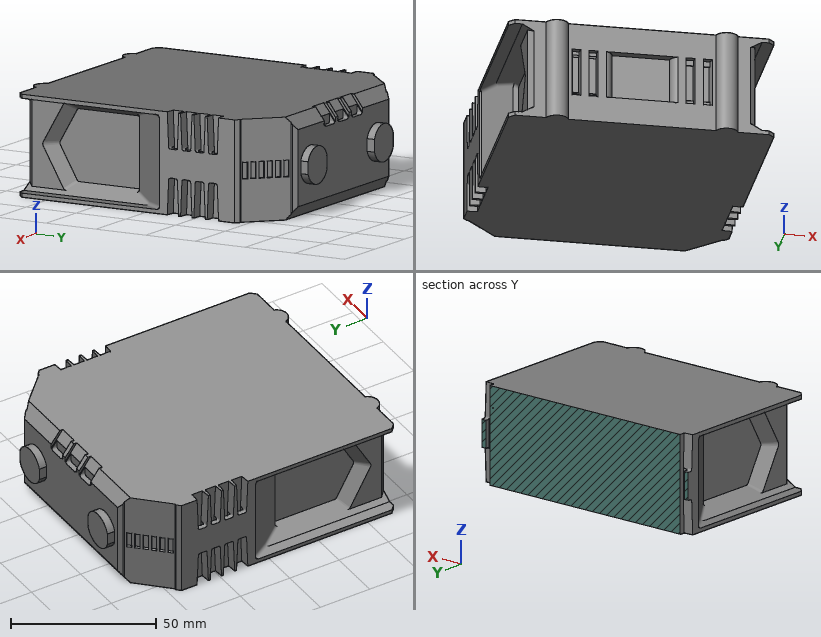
import cadquery as cq
import math


TOTAL_LENGTH = 109.0
WIDTH = 93.0
THICKNESS = 36.3
RIB_HEIGHT = 2.7
KNOB_HEIGHT = 2.9
BODY_LENGTH = TOTAL_LENGTH - RIB_HEIGHT - KNOB_HEIGHT
HALF_WIDTH = WIDTH / 2
HALF_THICKNESS = THICKNESS / 2

FOOT_CHAMFER = 2.0
SHOULDER_CHAMFER = 16.0
SHOULDER_RECESS = 0.4
SHOULDER_LIP = 1.4

END_BEVEL_LENGTH = 3.5
END_BEVEL_DEPTH = 4.6

RIB_RADIUS = 4.1
RIB_X = 29.8

KNOB_DIAMETER = 13.5
KNOB_WIDTH = 12.8
KNOB_X = 22.2

GRIP_COUNT = 6
GRIP_PITCH = 2.9
GRIP_WIDTH = 1.9
GRIP_DEPTH = 1.1
GRIP_LENGTH = 5.9

VENT_COUNT = 4
VENT_PITCH = 5.3
VENT_FIRST_Y = 62.7
VENT_MOUTH_WIDTH = 4.6
VENT_END_WIDTH = 3.5
VENT_DRAFT = 0.2
VENT_DEPTH = 3.6
VENT_END_Z = 5.1
VENT_CORNER_RADIUS = 0.8
VENT_WEB = 2.0
VENT_PASSAGE_WIDTH = 3.0

POCKET_LENGTH = 57.2
POCKET_RIM_DEPTH = 0.8
POCKET_HALF_HEIGHT = 16.7
POCKET_STRAIGHT_DEPTH = 4.5
POCKET_WALL_ANGLE = 30.0
POCKET_RAMP_END_Y = 43.6
POCKET_RAMP_DEPTH = 9.3
POCKET_FLOOR_DEPTH = 11.1
POCKET_CORNER_RADIUS = 1.3
STEP_DEPTH = 6.6
STEP_CHAMFER = 2.0
STEP_APEX_Y = 6.1
STEP_WALL_RUN = 4.3
STEP_ANGLE = 30.0
STEP_APEX_RADIUS = 1.9

LATCH_HALF_HEIGHT = 8.6
LATCH_OUTER_HALF_WIDTH = 12.5
LATCH_INNER_HALF_WIDTH = 10.0
LATCH_DEPTH = 2.9
LATCH_SIDE_RADIUS = 3.7

SLIT_WIDTH = 3.2
SLIT_INNER_X = 17.0
SLIT_OUTER_X = 23.1
SLIT_SIDE_DRAFT = 0.3
SLIT_OUTERMOST_DRAFT = 0.8
SLIT_DEPTH = 2.0
SLIT_WELL_DEPTH = 2.4
SLIT_WELL_HALF_HEIGHT = 6.6
SLIT_WELL_LEAD = 0.7

LAMP_PITCH = 9.2
LAMP_WIDTH = 7.4
LAMP_SEAT_SHIFT = 1.2
LAMP_HOLE_WIDTH = 6.5
LAMP_HOLE_LENGTH = 2.1
LAMP_HOLE_FLOOR_Z = 11.4
LAMP_HOLE_RADIUS = 0.9


def both_sides(solid):
    """The solid together with its mirror image across the YZ plane."""
    return solid.union(solid.mirror("YZ"))


def box(x_range, y_range, z_range):
    size = [high - low for low, high in (x_range, y_range, z_range)]
    start = (x_range[0], y_range[0], z_range[0])
    return cq.Workplane("XY").box(*size, centered=False).translate(start)


def plate(points):
    """A prism with an XY outline through the whole thickness."""
    return cq.Workplane("XY").polyline(points).close().extrude(HALF_THICKNESS, both=True)


def body():
    blank = cq.Workplane("XY").box(WIDTH, BODY_LENGTH, THICKNESS).translate((0, BODY_LENGTH / 2, 0))
    blank = blank.faces("<Y").edges("|Z").chamfer(FOOT_CHAMFER)
    blank = blank.faces(">Y").edges("|Z").chamfer(SHOULDER_CHAMFER)
    lip_x = HALF_WIDTH - SHOULDER_CHAMFER + SHOULDER_LIP
    lip_y = BODY_LENGTH - SHOULDER_CHAMFER + SHOULDER_LIP
    diagonal = HALF_WIDTH + BODY_LENGTH - SHOULDER_CHAMFER - SHOULDER_RECESS * math.sqrt(2)
    recess = plate([
        (lip_x, diagonal - lip_x),
        (diagonal - lip_y, lip_y),
        (HALF_WIDTH, lip_y),
        (HALF_WIDTH, BODY_LENGTH),
        (lip_x, BODY_LENGTH),
    ])
    blank = blank.cut(both_sides(recess))
    bevel = (
        cq.Workplane("YZ")
        .moveTo(BODY_LENGTH, HALF_THICKNESS)
        .lineTo(BODY_LENGTH - END_BEVEL_LENGTH, HALF_THICKNESS)
        .lineTo(BODY_LENGTH, HALF_THICKNESS - END_BEVEL_DEPTH)
        .close()
        .extrude(HALF_WIDTH, both=True)
    )
    return blank.cut(bevel).cut(bevel.mirror("XY"))


def ribs():
    return (
        cq.Workplane("XY")
        .pushPoints([(-RIB_X, RIB_RADIUS - RIB_HEIGHT), (RIB_X, RIB_RADIUS - RIB_HEIGHT)])
        .circle(RIB_RADIUS)
        .extrude(HALF_THICKNESS, both=True)
    )


def knob():
    disc = cq.Workplane("XZ").circle(KNOB_DIAMETER / 2).extrude(-KNOB_HEIGHT)
    flats = cq.Workplane("XZ").rect(KNOB_WIDTH, KNOB_DIAMETER).extrude(-KNOB_HEIGHT)
    return disc.intersect(flats).translate((KNOB_X, BODY_LENGTH, 0))


def grip_grooves():
    """Evenly spaced grooves square to the recessed shoulder face on +X."""
    inset = SHOULDER_CHAMFER / 2 + SHOULDER_RECESS / math.sqrt(2)
    middle = (HALF_WIDTH - inset, BODY_LENGTH - inset, 0)
    face = cq.Plane(origin=middle, xDir=(-1, 1, 0), normal=(1, 1, 0))
    return (
        cq.Workplane(face)
        .rarray(GRIP_PITCH, 1.1, GRIP_COUNT, 1)
        .rect(GRIP_WIDTH, GRIP_LENGTH)
        .extrude(-GRIP_DEPTH)
    )


def vent_outline(inset):
    """Tapered vent outline in YZ with each side moved in by the inset."""
    half_mouth = VENT_MOUTH_WIDTH / 2 - inset
    half_end = VENT_END_WIDTH / 2 - inset
    return [
        (-half_mouth, HALF_THICKNESS),
        (-half_end, VENT_END_Z),
        (half_end, VENT_END_Z),
        (half_mouth, HALF_THICKNESS),
    ]


def vent(y):
    """One tapered vent on each large face of the +X side, joined behind the web."""
    notch = (
        cq.Workplane("YZ", origin=(HALF_WIDTH - VENT_DEPTH, y, 0))
        .polyline(vent_outline(VENT_DRAFT)).close()
        .workplane(offset=VENT_DEPTH)
        .polyline(vent_outline(0)).close()
        .loft(ruled=True)
        .faces("<Z").edges("not |Y").fillet(VENT_CORNER_RADIUS)
    )
    passage = box(
        (HALF_WIDTH - VENT_DEPTH, HALF_WIDTH - VENT_WEB),
        (y - VENT_PASSAGE_WIDTH / 2, y + VENT_PASSAGE_WIDTH / 2),
        (-HALF_THICKNESS, HALF_THICKNESS),
    )
    return notch.union(notch.mirror("XY")).union(passage)


def step_outline(apex_y):
    """YZ outline of the arrow-ended step with its notch bottom at apex_y."""
    flank_y = apex_y + HALF_THICKNESS * math.tan(math.radians(STEP_ANGLE))
    return [
        (0, HALF_THICKNESS),
        (flank_y, HALF_THICKNESS),
        (apex_y, 0),
        (flank_y, -HALF_THICKNESS),
        (0, -HALF_THICKNESS),
    ]


def pocket_step():
    """Material left standing in the pocket between the mounting face and the arrow."""
    step = (
        cq.Workplane("YZ", origin=(HALF_WIDTH - STEP_DEPTH, 0, 0))
        .polyline(step_outline(STEP_APEX_Y)).close()
        .workplane(offset=STEP_DEPTH - POCKET_FLOOR_DEPTH)
        .polyline(step_outline(STEP_APEX_Y + STEP_WALL_RUN)).close()
        .loft(ruled=True)
    )
    apex_mid = (
        HALF_WIDTH - (STEP_DEPTH + POCKET_FLOOR_DEPTH) / 2,
        STEP_APEX_Y + STEP_WALL_RUN / 2,
        0,
    )
    valley = cq.selectors.NearestToPointSelector(apex_mid)
    step = step.edges(valley).fillet(STEP_APEX_RADIUS)
    entry = plate([
        (HALF_WIDTH - STEP_DEPTH, 0),
        (HALF_WIDTH - STEP_DEPTH, STEP_CHAMFER),
        (HALF_WIDTH - STEP_DEPTH - STEP_CHAMFER, 0),
    ])
    return step.cut(entry)


def pocket_half_height(depth):
    """Half height of the pocket at a depth inside its sloping walls."""
    slope_depth = depth - POCKET_STRAIGHT_DEPTH
    return POCKET_HALF_HEIGHT - slope_depth * math.tan(math.radians(POCKET_WALL_ANGLE))


def side_pocket():
    """Pocket in the +X side, open at the mounting face."""
    floor_half_height = pocket_half_height(POCKET_FLOOR_DEPTH)
    straight_x = HALF_WIDTH - POCKET_STRAIGHT_DEPTH
    floor_x = HALF_WIDTH - POCKET_FLOOR_DEPTH
    section = (
        cq.Workplane("XZ")
        .polyline([
            (HALF_WIDTH, POCKET_HALF_HEIGHT),
            (straight_x, POCKET_HALF_HEIGHT),
            (floor_x, floor_half_height),
            (floor_x, -floor_half_height),
            (straight_x, -POCKET_HALF_HEIGHT),
            (HALF_WIDTH, -POCKET_HALF_HEIGHT),
        ])
        .close()
        .extrude(-POCKET_LENGTH)
    )
    plan = plate([
        (HALF_WIDTH, 0),
        (HALF_WIDTH, POCKET_LENGTH),
        (HALF_WIDTH - POCKET_RIM_DEPTH, POCKET_LENGTH),
        (HALF_WIDTH - POCKET_RAMP_DEPTH, POCKET_RAMP_END_Y),
        (floor_x, POCKET_RAMP_END_Y),
        (floor_x, 0),
    ])
    pocket = section.intersect(plan)
    margin = 0.1
    end_zone = cq.selectors.BoxSelector(
        (floor_x + margin, POCKET_RAMP_END_Y - margin, -HALF_THICKNESS),
        (HALF_WIDTH, POCKET_LENGTH + margin, HALF_THICKNESS),
    )
    end_edges = pocket.edges(end_zone).edges("not(|Z or |Y)")
    pocket = end_edges.fillet(POCKET_CORNER_RADIUS)
    pocket = pocket.cut(pocket_step())
    corner_depth = (STEP_DEPTH + POCKET_FLOOR_DEPTH) / 2
    corner_z = pocket_half_height(corner_depth)
    corner_y = STEP_APEX_Y + STEP_WALL_RUN / 2 + corner_z * math.tan(math.radians(STEP_ANGLE))
    for z in (corner_z, -corner_z):
        corner = cq.selectors.NearestToPointSelector((HALF_WIDTH - corner_depth, corner_y, z))
        pocket = pocket.edges(corner).fillet(POCKET_CORNER_RADIUS)
    return pocket


def latch_window():
    """Recess in the mounting face with rounded-over sides."""
    return (
        cq.Workplane("XY")
        .moveTo(-LATCH_OUTER_HALF_WIDTH, 0)
        .radiusArc((-LATCH_INNER_HALF_WIDTH, LATCH_DEPTH), -LATCH_SIDE_RADIUS)
        .lineTo(LATCH_INNER_HALF_WIDTH, LATCH_DEPTH)
        .radiusArc((LATCH_OUTER_HALF_WIDTH, 0), -LATCH_SIDE_RADIUS)
        .close()
        .extrude(LATCH_HALF_HEIGHT, both=True)
    )


def slit(x, outward_draft, well_lead):
    """Slit in the +X half of the mounting face, with a deeper well along its middle."""
    plan = plate([
        (x - SLIT_WIDTH / 2, 0),
        (x + SLIT_WIDTH / 2, 0),
        (x + SLIT_WIDTH / 2 - outward_draft, SLIT_WELL_DEPTH),
        (x - SLIT_WIDTH / 2 + SLIT_SIDE_DRAFT, SLIT_WELL_DEPTH),
    ])
    half_profile = [
        (0, LATCH_HALF_HEIGHT),
        (SLIT_DEPTH, LATCH_HALF_HEIGHT),
        (SLIT_DEPTH, SLIT_WELL_HALF_HEIGHT + well_lead),
        (SLIT_WELL_DEPTH, SLIT_WELL_HALF_HEIGHT),
    ]
    lower_half = [(y, -z) for y, z in reversed(half_profile)]
    profile = cq.Workplane("YZ").polyline(half_profile + lower_half).close().extrude(HALF_WIDTH)
    return plan.intersect(profile)


def lamp_window(x):
    """Seat sunk parallel to the upper end bevel, with a deeper hole at its outer end."""
    seat_length = END_BEVEL_LENGTH + LAMP_SEAT_SHIFT
    seat_drop = seat_length * END_BEVEL_DEPTH / END_BEVEL_LENGTH
    seat = (
        cq.Workplane("YZ", origin=(x, 0, 0))
        .moveTo(BODY_LENGTH - seat_length, HALF_THICKNESS)
        .lineTo(BODY_LENGTH, HALF_THICKNESS)
        .lineTo(BODY_LENGTH, HALF_THICKNESS - seat_drop)
        .close()
        .extrude(LAMP_WIDTH / 2, both=True)
    )
    hole = box(
        (x - LAMP_HOLE_WIDTH / 2, x + LAMP_HOLE_WIDTH / 2),
        (BODY_LENGTH - LAMP_HOLE_LENGTH, BODY_LENGTH),
        (LAMP_HOLE_FLOOR_Z, HALF_THICKNESS),
    )
    hole = hole.faces("<Z").edges("|Y").fillet(LAMP_HOLE_RADIUS)
    return seat.union(hole)


result = body().union(ribs()).union(both_sides(knob()))
result = result.cut(both_sides(grip_grooves()))
result = result.cut(both_sides(side_pocket()))
for index in range(VENT_COUNT):
    result = result.cut(both_sides(vent(VENT_FIRST_Y + index * VENT_PITCH)))
result = result.cut(latch_window())
for slit_x, draft in ((SLIT_INNER_X, SLIT_SIDE_DRAFT), (SLIT_OUTER_X, SLIT_OUTERMOST_DRAFT)):
    result = result.cut(slit(slit_x, draft, 0))
    result = result.cut(slit(slit_x, draft, SLIT_WELL_LEAD).mirror("YZ"))
for lamp_x in (-LAMP_PITCH, 0, LAMP_PITCH):
    result = result.cut(lamp_window(lamp_x))